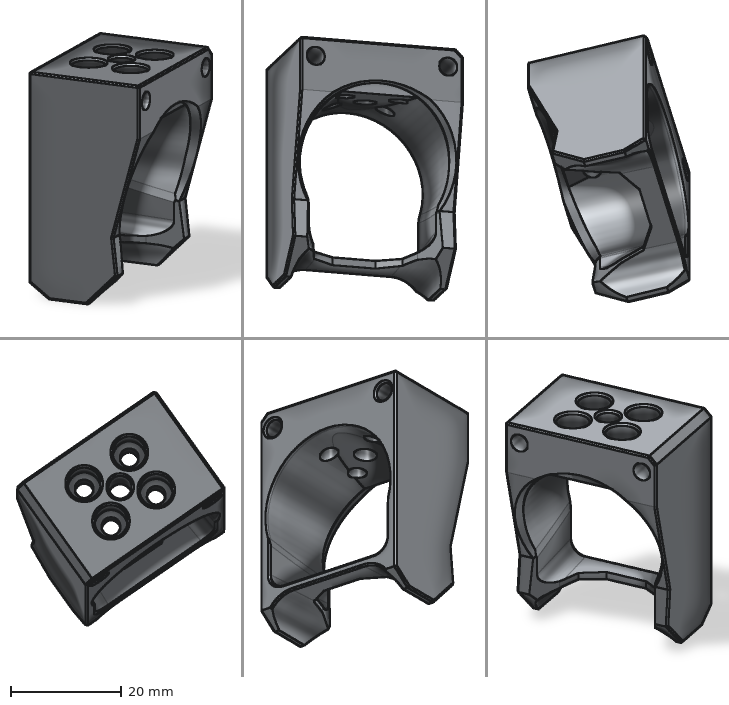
import cadquery as cq
import math

DEPTH = 22.18
WIDTH = 30.8
HEIGHT = 42.4
HALF_WIDTH = WIDTH / 2
EDGE_CHAMFER = 0.35
TOP_CHAMFER = 1.5

TOE_DEPTH = 4.0
TOE_HEIGHT = 2.75
SOLE_END = 11.65
NOSE_DEPTH = 17.7
NOSE_HEIGHT = NOSE_DEPTH - SOLE_END
NECK_DEPTH = 16.88
NECK_HEIGHT = 13.15
SHOULDER_HEIGHT = 32.4

SMALL_BORE = 3.4
CENTRE_BORE = 4.2
COUNTERBORE = 6.0
HOLE_CHAMFER = 0.403
TOP_HOLES_X = 11.28
TOP_PITCH_X = 8.5
TOP_PITCH_Y = 10.0
COUNTERBORE_DEPTH = 5.0
SIDE_HOLE_PITCH = 25.0
SIDE_HOLE_HEIGHT = 38.92

BORE_RADIUS = 14.08
BORE_HEIGHT = 21.05
BORE_LEAD = 0.13
BORE_LEAD_DEPTH = 0.6
CEILING_FRONT = 35.4
CEILING_REAR = 32.95
POCKET_HALF_FRONT = 13.25
POCKET_HALF_REAR = 11.58
POCKET_FLOOR = 6.57
POCKET_CORNER = 2.95
POCKET_TOP = 17.4
MOUTH_CHAMFER = 0.4
FLARE = 0.85
FLARE_DEPTH = 1.7
RIDGE_CHAMFER = 0.8

ARCH_HEIGHT = 4.88
ARCH_RADIUS = 6.0
ARCH_FLAT_HALF = 8.1
ARCH_RISE_ANGLE = 3.0
ARCH_CHAMFER = 0.35

NOTCH_TOP = 15.25
NOTCH_HALF_OUTLINE = [(4.2, 4.05), (6.83, 8.35), (11.45, 9.85), (DEPTH, 14.95)]


def make_body():
    """Side profile extruded across the width, with its outer edges chamfered."""
    profile = [
        (0, TOE_HEIGHT), (TOE_DEPTH, 0), (SOLE_END, 0), (NOSE_DEPTH, NOSE_HEIGHT),
        (NECK_DEPTH, NECK_HEIGHT), (DEPTH, SHOULDER_HEIGHT), (DEPTH, HEIGHT), (0, HEIGHT),
    ]
    body = cq.Workplane("XZ").polyline(profile).close().extrude(HALF_WIDTH, both=True)
    body = body.edges(">Y and >Z").chamfer(TOP_CHAMFER)
    sloped_top = body.faces(cq.selectors.DirectionMinMaxSelector(cq.Vector(0, 1, 1)))
    outer_edges = (
        body.faces("<Y").edges()
        .add(body.faces(">Y").edges("not >Z"))
        .add(body.faces(">Z").edges("|Y"))
        .add(sloped_top.edges("not |X"))
    )
    return outer_edges.chamfer(EDGE_CHAMFER)


def make_bore():
    """Round passage with its top flattened by a plane that falls towards the rear."""
    ceiling = (
        cq.Workplane("XZ")
        .polyline([(0, CEILING_FRONT), (DEPTH, CEILING_REAR), (DEPTH, HEIGHT), (0, HEIGHT)])
        .close().extrude(HALF_WIDTH, both=True)
    )
    bore = cq.Workplane("YZ", origin=(0, 0, BORE_HEIGHT)).circle(BORE_RADIUS).extrude(DEPTH)
    return bore.cut(ceiling)


def make_bore_lead():
    """Slight cone at the front mouth of the bore."""
    lead_angle = math.degrees(math.atan2(BORE_LEAD, BORE_LEAD_DEPTH))
    front = cq.Workplane("YZ", origin=(0, 0, BORE_HEIGHT))
    return front.circle(BORE_RADIUS + BORE_LEAD).extrude(BORE_LEAD_DEPTH, taper=lead_angle)


def make_bore_flare():
    """Cone that widens the bore where it meets the sloping rear face."""
    back_run = DEPTH - NECK_DEPTH
    back_rise = SHOULDER_HEIGHT - NECK_HEIGHT
    flare_x = NECK_DEPTH + back_run * (BORE_HEIGHT - NECK_HEIGHT) / back_rise
    back_face = cq.Plane(origin=(flare_x, 0, BORE_HEIGHT), xDir=(0, 1, 0), normal=(-back_rise, 0, back_run))
    flare_angle = math.degrees(math.atan2(FLARE, FLARE_DEPTH))
    return cq.Workplane(back_face).circle(BORE_RADIUS + FLARE).extrude(FLARE_DEPTH, taper=flare_angle)


def make_pocket():
    """Square-bottomed passage below the bore that narrows to the rear."""
    plan = [
        (0, -POCKET_HALF_FRONT), (DEPTH, -POCKET_HALF_REAR),
        (DEPTH, POCKET_HALF_REAR), (0, POCKET_HALF_FRONT),
    ]
    height = POCKET_TOP - POCKET_FLOOR
    return (
        cq.Workplane("XY", origin=(0, 0, POCKET_FLOOR)).polyline(plan).close().extrude(height)
        .faces("<Z").edges("<Y or >Y").fillet(POCKET_CORNER)
    )


def make_pocket_mouth():
    """Chamfer around the front of the pocket."""
    mouth_half = POCKET_HALF_FRONT + MOUTH_CHAMFER
    mouth_floor = POCKET_FLOOR - MOUTH_CHAMFER
    mouth_corner = POCKET_CORNER + MOUTH_CHAMFER
    corner_y = mouth_half - mouth_corner
    corner_z = mouth_floor + mouth_corner
    return (
        cq.Workplane("YZ").moveTo(-mouth_half, POCKET_TOP).lineTo(-mouth_half, corner_z)
        .radiusArc((-corner_y, mouth_floor), -mouth_corner)
        .lineTo(corner_y, mouth_floor)
        .radiusArc((mouth_half, corner_z), -mouth_corner)
        .lineTo(mouth_half, POCKET_TOP).close().extrude(MOUTH_CHAMFER, taper=45)
    )


def make_arch():
    """Flat-topped arch with rounded shoulders, tilted up towards the rear."""
    spring = ARCH_HEIGHT - ARCH_RADIUS
    half_span = ARCH_FLAT_HALF + ARCH_RADIUS
    arch = (
        cq.Workplane("YZ", origin=(-DEPTH, 0, 0))
        .moveTo(-half_span, -HEIGHT).lineTo(-half_span, spring)
        .radiusArc((-ARCH_FLAT_HALF, ARCH_HEIGHT), ARCH_RADIUS)
        .lineTo(ARCH_FLAT_HALF, ARCH_HEIGHT)
        .radiusArc((half_span, spring), ARCH_RADIUS)
        .lineTo(half_span, -HEIGHT).close().extrude(3 * DEPTH)
    )
    return arch.rotate((0, 0, ARCH_HEIGHT), (0, 1, ARCH_HEIGHT), -ARCH_RISE_ANGLE)


def make_notch():
    """Upright prism that cuts away the rear of the floor and flares the pocket walls."""
    mirrored = [(x, -y) for x, y in reversed(NOTCH_HALF_OUTLINE)]
    return cq.Workplane("XY").polyline(NOTCH_HALF_OUTLINE + mirrored).close().extrude(NOTCH_TOP)


def countersunk_hole(plane, diameter, depth):
    """Cylinder with a 45 degree countersink at its mouth, at each point of the plane."""
    bore = plane.circle(diameter / 2).extrude(-depth)
    sink = plane.circle(diameter / 2 + HOLE_CHAMFER).extrude(-HOLE_CHAMFER, taper=45)
    return bore.union(sink)


def make_holes():
    """Four counterbored holes around a central one from the top, and two holes along X."""
    top = cq.Workplane("XY", origin=(TOP_HOLES_X, 0, HEIGHT))
    corners = top.rect(TOP_PITCH_X, TOP_PITCH_Y, forConstruction=True).vertices()
    window_depth = HEIGHT - BORE_HEIGHT
    holes = countersunk_hole(top, CENTRE_BORE, window_depth)
    holes = holes.union(countersunk_hole(corners, COUNTERBORE, COUNTERBORE_DEPTH))
    holes = holes.union(corners.circle(SMALL_BORE / 2).extrude(-window_depth))
    side = (
        cq.Workplane("YZ", origin=(0, 0, SIDE_HOLE_HEIGHT)).transformed(rotate=(0, 180, 0))
        .pushPoints([(-SIDE_HOLE_PITCH / 2, 0), (SIDE_HOLE_PITCH / 2, 0)])
    )
    return holes.union(countersunk_hole(side, SMALL_BORE, DEPTH))


def chamfer_ridges(body):
    """Flatten both ridges where the pocket walls meet the bore."""
    ridge_y = (POCKET_HALF_FRONT + POCKET_HALF_REAR) / 2
    ridge_z = BORE_HEIGHT - math.sqrt(BORE_RADIUS**2 - ridge_y**2)
    for side in (-1, 1):
        ridge = cq.selectors.NearestToPointSelector((DEPTH / 2, side * ridge_y, ridge_z))
        body = body.edges(ridge).chamfer(RIDGE_CHAMFER)
    return body


def chamfer_arch_front(body):
    """Chamfer the arch edges that lie on the front face, above the toe."""
    margin = 0.2
    arch_zone = cq.selectors.BoxSelector(
        (-margin, margin - HALF_WIDTH, TOE_HEIGHT + margin),
        (margin, HALF_WIDTH - margin, ARCH_HEIGHT + margin),
    )
    return body.faces("<X").edges(arch_zone).chamfer(ARCH_CHAMFER)


body = make_body().cut(make_bore()).cut(make_pocket())
body = chamfer_ridges(body)
body = chamfer_arch_front(body.cut(make_arch()))
cutters = [make_bore_flare(), make_bore_lead(), make_pocket_mouth(), make_notch(), make_holes()]
for cutter in cutters:
    body = body.cut(cutter)
result = body